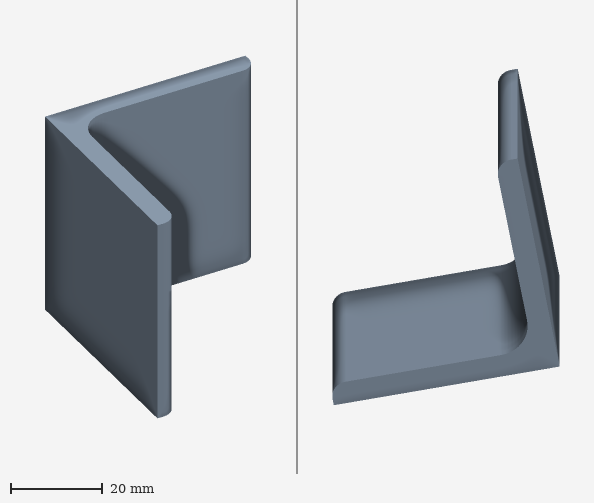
import cadquery as cq

leg_length = 50.0
height = 50.0
thickness = 5.0
root_radius = 7.0
toe_radius = root_radius / 2


def angle_blank():
    """Sharp-cornered L section with its outer corner at the origin."""
    return (
        cq.Workplane("XY")
        .moveTo(0, 0)
        .lineTo(leg_length, 0)
        .lineTo(leg_length, thickness)
        .lineTo(thickness, thickness)
        .lineTo(thickness, leg_length)
        .lineTo(0, leg_length)
        .close()
        .extrude(height)
    )


def round_vertical_edge(body, x, y, radius):
    """Fillet the vertical edge that stands at (x, y)."""
    edge = body.edges(cq.selectors.NearestToPointSelector((x, y, height / 2)))
    return edge.fillet(radius)


result = angle_blank()

result = round_vertical_edge(result, thickness, thickness, root_radius)

for toe_x, toe_y in [(leg_length, thickness), (thickness, leg_length)]:
    result = round_vertical_edge(result, toe_x, toe_y, toe_radius)